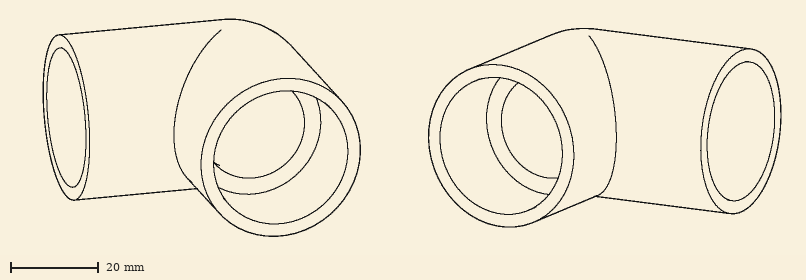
import cadquery as cq

outer_diameter = 38.0
bore_diameter = 24.25
socket_diameter = 32.0
socket_depth = 22.0
bend_diameter = 30.3
bend_radius = bend_diameter / 2
overall_x = 60.0
overall_y = 58.0

LEG_X = (1, 0, 0)
LEG_Y = (0, -1, 0)

outer_radius = outer_diameter / 2
leg_x = overall_x - outer_radius
leg_y = overall_y - outer_radius


def rod(direction, start, end, diameter):
    """Cylinder along one leg, between two distances from the corner."""
    origin = cq.Vector(*direction) * start
    plane = cq.Plane(origin=origin.toTuple(), xDir=(0, 0, 1), normal=direction)
    return cq.Workplane(plane).circle(diameter / 2).extrude(end - start)


def elbow_body():
    """Two legs meeting in a mitre, with a ball rounding the outer corner."""
    ball = cq.Workplane("XY").sphere(outer_radius)
    along_x = rod(LEG_X, 0, leg_x, outer_diameter)
    along_y = rod(LEG_Y, 0, leg_y, outer_diameter)
    return along_x.union(along_y).union(ball)


def bore():
    """Passage that runs straight in from each leg and turns through a round bend."""
    bend = (
        cq.Workplane("XZ", origin=(0, -bend_radius, 0))
        .circle(bore_diameter / 2)
        .revolve(90, (bend_radius, 0, 0), (bend_radius, -1, 0))
    )
    along_x = rod(LEG_X, bend_radius, leg_x, bore_diameter)
    along_y = rod(LEG_Y, bend_radius, leg_y, bore_diameter)
    return bend.union(along_x).union(along_y)


def socket(direction, leg_length):
    """Pipe socket ending in a flat shoulder around the bore."""
    return rod(direction, leg_length - socket_depth, leg_length, socket_diameter)


result = elbow_body().cut(bore()).cut(socket(LEG_X, leg_x)).cut(socket(LEG_Y, leg_y))